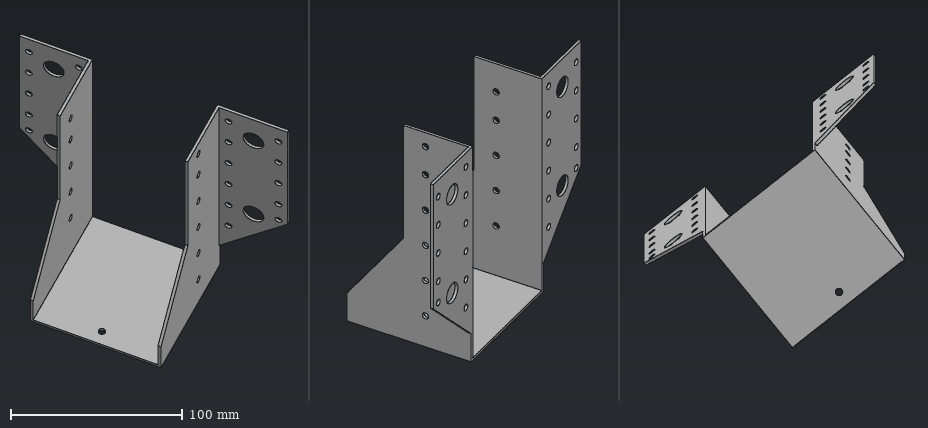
import cadquery as cq

width = 172.0
depth = 84.0
height = 152.0
channel_width = 84.0
clear_width = 80.0
thickness = (channel_width - clear_width) / 2

flange_cut_start = 88.0
flange_cut_end = 132.0
wall_top_depth = 46.0
wall_cut_start = 80.0
wall_cut_end = 132.0

nail_diameter = 4.1
bolt_diameter = 13.0
nail_pitch = 20.0
inner_nail_x = 48.0
inner_nail_drop = 10.0
inner_nail_count = 6
outer_nail_x = 80.0
outer_nail_drops = [12.0, 32.0, 52.0, 72.0, 87.0]
bolt_x = 64.0
bolt_drops = [20.0, 90.0]
wall_nail_offset = 31.0
left_wall_nail_drops = [20.0, 40.0, 65.0, 90.0, 115.0]
right_wall_nail_drops = [10.0, 30.0, 55.0, 80.0, 105.0, 130.0]
seat_nail_offset = 75.0

half_width = width / 2
half_channel = channel_width / 2


def make_channel():
    """U-shaped seat and side walls with sloped front edges."""
    profile = [
        (0, 0),
        (-depth, 0),
        (-depth, height - wall_cut_end),
        (-wall_top_depth, height - wall_cut_start),
        (-wall_top_depth, height),
        (0, height),
    ]
    block = cq.Workplane("YZ").polyline(profile).close().extrude(half_channel, both=True)
    cavity = cq.Workplane("XY").box(
        clear_width, 3 * depth, height, centered=(True, True, False)
    )
    return block.cut(cavity.translate((0, 0, thickness)))


def make_flange(side):
    """Back flange on one side (-1 or 1), with its lower outer corner cut off."""
    inner_edge = side * clear_width / 2
    profile = [
        (inner_edge, height),
        (side * half_width, height),
        (side * half_width, height - flange_cut_start),
        (side * half_channel, height - flange_cut_end),
        (inner_edge, height - flange_cut_end),
    ]
    return cq.Workplane("XZ").polyline(profile).close().extrude(thickness)


def cut_holes(body, plane, centers, diameter, directions=(-1, 1)):
    """Cut round holes from the plane outward, along its normal (1), against it (-1) or both."""
    for direction in directions:
        holes = cq.Workplane(plane).pushPoints(centers).circle(diameter / 2)
        body = body.cut(holes.extrude(direction * width))
    return body


result = make_channel()
for side in (-1, 1):
    result = result.union(make_flange(side))

inner_nail_drops = [inner_nail_drop + i * nail_pitch for i in range(inner_nail_count)]
for side in (-1, 1):
    nails = [(side * inner_nail_x, height - drop) for drop in inner_nail_drops]
    nails += [(side * outer_nail_x, height - drop) for drop in outer_nail_drops]
    bolts = [(side * bolt_x, height - drop) for drop in bolt_drops]
    result = cut_holes(result, "XZ", nails, nail_diameter)
    result = cut_holes(result, "XZ", bolts, bolt_diameter)

for side, drops in ((-1, left_wall_nail_drops), (1, right_wall_nail_drops)):
    wall_nails = [(-wall_nail_offset, height - drop) for drop in drops]
    result = cut_holes(result, "YZ", wall_nails, nail_diameter, directions=(side,))

result = cut_holes(result, "XY", [(0, -seat_nail_offset)], nail_diameter)